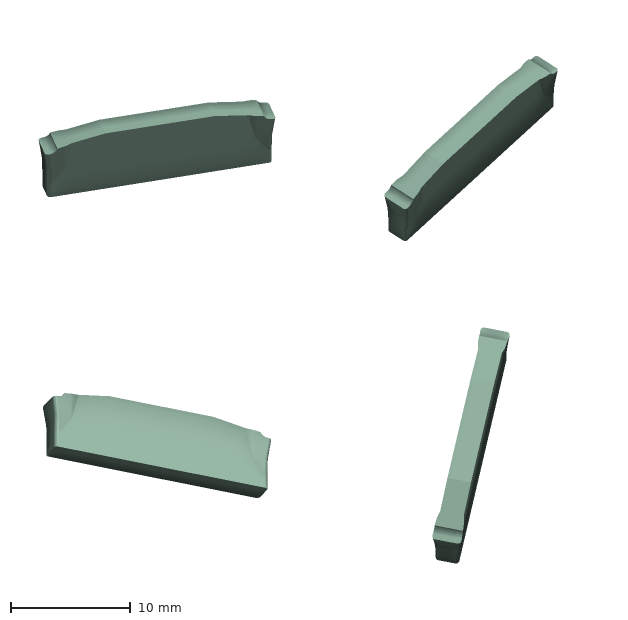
import cadquery as cq
import math

length = 19.95
height = 5.69
body_width = 2.01
flat_top_length = 9.45

tip_y = length / 2
tip_z = 4.57
land_y = 9.48
land_z = 4.63
groove_y = 8.98
groove_z = 4.93
ridge_y = 8.94
ridge_z = 5.03

relief_angle = math.radians(8)
blend_top_z = 3.0
blend_bottom_z = 2.51
blend_height = blend_top_z - blend_bottom_z
blend_top_y = tip_y - (tip_z - blend_top_z) * math.tan(relief_angle)
lower_end_y = blend_top_y - blend_height * math.tan(relief_angle / 2)
corner_radius = 0.3
tolerance = 0.002

flank_y = 8.24
flank_start_z = 2.83
flank_rise_slope = 0.066
flank_end_slope = 0.086
ramp_slope = 0.257
flank_edge_radius = 0.5
head_back_y = 7.38
head_end_y = tip_y + 0.2


def side_profile():
    """Half of the lengthwise outline, extruded across X and mirrored."""
    half = (
        cq.Workplane("YZ")
        .moveTo(0, 0)
        .lineTo(lower_end_y, 0)
        .lineTo(lower_end_y, blend_bottom_z)
        .tangentArcPoint((blend_top_y, blend_top_z), relative=False)
        .lineTo(tip_y, tip_z)
        .lineTo(land_y, land_z)
        .tangentArcPoint((groove_y, groove_z), relative=False)
        .lineTo(ridge_y, ridge_z)
        .lineTo(flat_top_length / 2, height)
        .lineTo(0, height)
        .close()
        .extrude(body_width, both=True)
    )
    return half.union(half.mirror("XZ"))


def flank_section(z):
    """Plan outline of one flank at height z; it shifts outwards as z grows."""
    edge_x = body_width / 2 + flank_rise_slope * (z - flank_start_z)
    back_x = edge_x - ramp_slope * (flank_y - head_back_y)
    end_x = edge_x + flank_end_slope * (head_end_y - flank_y)
    return [
        (0, head_back_y),
        (back_x, head_back_y),
        (edge_x, flank_y),
        (end_x, head_end_y),
        (0, head_end_y),
    ]


def flank():
    """Widened side of the head at +X, +Y."""
    block = (
        cq.Workplane("XY")
        .polyline(flank_section(0))
        .close()
        .workplane(offset=height)
        .polyline(flank_section(height))
        .close()
        .loft(ruled=True)
    )
    flank_edge = cq.selectors.NearestToPointSelector((body_width / 2, flank_y, height / 2))
    return block.edges(flank_edge).fillet(flank_edge_radius)


def is_end_corner(edge):
    """True for the upright edges at the sides of both end faces."""
    box = edge.BoundingBox()
    nearest_y = min(abs(box.ymin), abs(box.ymax))
    return nearest_y > lower_end_y - tolerance and box.zlen > box.xlen


bar = cq.Workplane("XY").box(body_width, 2 * head_end_y, height, centered=(True, True, False))

right_flank = flank()
head = right_flank.union(right_flank.mirror("YZ"))
blank = bar.union(head).union(head.mirror("XZ"))
insert = blank.intersect(side_profile())

end_corners = [edge for edge in insert.edges().vals() if is_end_corner(edge)]
result = insert.newObject(end_corners).fillet(corner_radius)